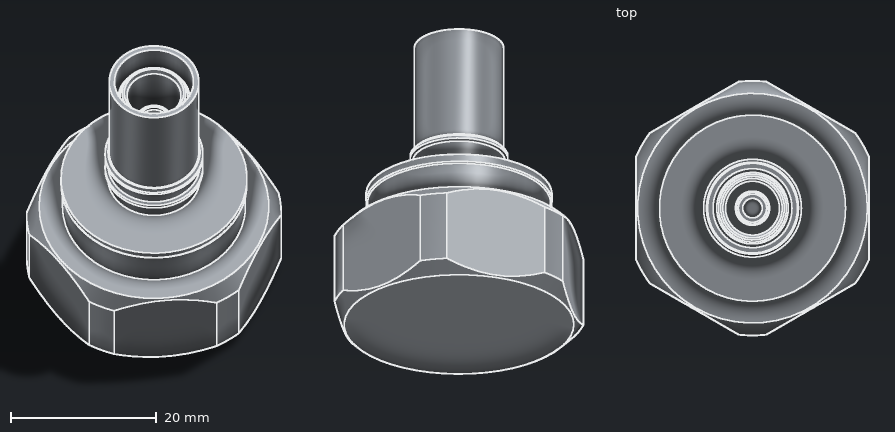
import cadquery as cq
import math

overall_height = 42.05

nut_across_flats = 32.0
nut_corner_radius = 17.5
nut_height = 13.4
nut_chamfer = 1.72

collar_radius = 12.57
flange_radius = 12.8
flange_bottom_z = 18.5
flange_top_z = 19.8
flange_chamfer = flange_radius - collar_radius

neck_diameter = 12.65
neck_radius = neck_diameter / 2
ridge_radius = 6.73
ridge_bevel_height = 0.275
lower_ridge_bottom_z = 21.8
lower_ridge_top_z = 22.9
upper_ridge_bottom_z = 24.9
upper_ridge_land_height = 0.4
tube_bottom_z = 26.0

tube_diameter = 12.3
tube_radius = tube_diameter / 2
socket_radius = 5.42
socket_floor_z = tube_bottom_z

post_radius = 4.9
post_taper_base_radius = 4.65
post_rim_outer_radius = 4.37
post_rim_inner_radius = 4.08
post_bore_radius = 3.7
post_top_z = overall_height - 2.6
post_taper_height = 0.85
post_shoulder_height = post_radius - post_taper_base_radius
post_mouth_depth = 0.55

contact_radius = 2.35
contact_top_z = 33.65
contact_chamfer = 0.15
contact_counterbore_radius = 1.95
contact_counterbore_depth = 0.65
contact_hole_radius = 1.35
contact_hole_depth = 3.35


def turned(profile):
    """Revolve a closed (radius, z) outline about the Z axis."""
    return cq.Workplane("XZ").polyline(profile).close().revolve(360, (0, 0, 0), (0, 1, 0))


def hex_nut():
    across_corners = nut_across_flats / math.cos(math.radians(30))
    hexagon = (
        cq.Workplane("XY")
        .polygon(6, across_corners)
        .extrude(nut_height)
        .rotate((0, 0, 0), (0, 0, 1), 30)
    )
    corner_round = cq.Workplane("XY").circle(nut_corner_radius).extrude(nut_height)
    return hexagon.intersect(corner_round.edges().chamfer(nut_chamfer))


def stepped_body():
    upper_ridge_land_z = upper_ridge_bottom_z + ridge_bevel_height
    return turned([
        (0, 0),
        (collar_radius, 0),
        (collar_radius, flange_bottom_z),
        (flange_radius, flange_bottom_z + flange_chamfer),
        (flange_radius, flange_top_z),
        (neck_radius, flange_top_z),
        (neck_radius, lower_ridge_bottom_z),
        (ridge_radius, lower_ridge_bottom_z + ridge_bevel_height),
        (ridge_radius, lower_ridge_top_z - ridge_bevel_height),
        (neck_radius, lower_ridge_top_z),
        (neck_radius, upper_ridge_bottom_z),
        (ridge_radius, upper_ridge_land_z),
        (ridge_radius, upper_ridge_land_z + upper_ridge_land_height),
        (neck_radius, tube_bottom_z),
        (tube_radius, tube_bottom_z),
        (tube_radius, overall_height),
        (0, overall_height),
    ])


def socket():
    depth = overall_height - socket_floor_z
    return cq.Workplane("XY").workplane(offset=socket_floor_z).circle(socket_radius).extrude(depth)


def post():
    taper_base_z = post_top_z - post_taper_height
    return turned([
        (post_bore_radius, socket_floor_z),
        (post_radius, socket_floor_z),
        (post_radius, taper_base_z - post_shoulder_height),
        (post_taper_base_radius, taper_base_z),
        (post_rim_outer_radius, post_top_z),
        (post_rim_inner_radius, post_top_z),
        (post_bore_radius, post_top_z - post_mouth_depth),
    ])


def contact():
    return (
        cq.Workplane("XY")
        .workplane(offset=socket_floor_z)
        .circle(contact_radius)
        .extrude(contact_top_z - socket_floor_z)
        .faces(">Z")
        .chamfer(contact_chamfer)
        .faces(">Z")
        .workplane()
        .cboreHole(
            2 * contact_hole_radius,
            2 * contact_counterbore_radius,
            contact_counterbore_depth,
            contact_hole_depth,
        )
    )


result = hex_nut().union(stepped_body()).cut(socket()).union(post()).union(contact())